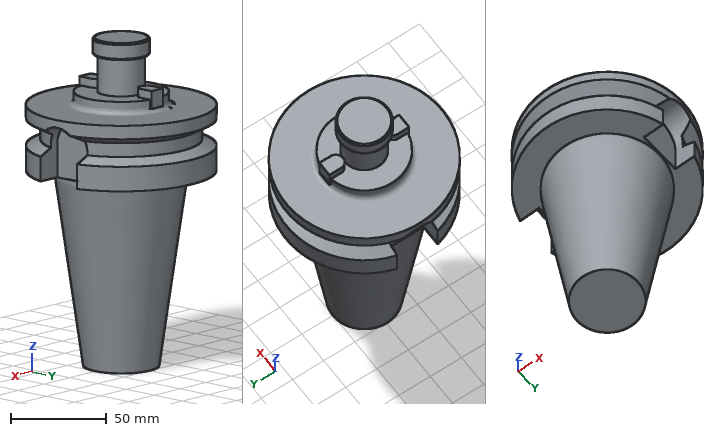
import cadquery as cq

gauge_z = 101.8
flange_bottom_z = 104.8
lower_bevel_z = 118.0
groove_bottom_z = 121.5
groove_top_z = 129.0
upper_bevel_z = 132.9
flange_top_z = 140.0
hub_top_z = 147.1
spigot_top_z = 167.0
overall_height = 176.2

taper_small_radius = 20.0
taper_large_radius = 34.9
flange_radius = 50.0
groove_radius = 42.5
hub_radius = 25.0
hub_fillet = 3.0
spigot_radius = 12.5

head_radius = 15.0
head_chamfer = 0.9

slot_width = 25.9
slot_top_z = 136.0
slot_floor_x = 35.5

key_width = 9.2
key_inner_y = 13.5
key_outer_y = 25.5
key_bottom_z = 142.2
key_top_z = 151.9


def turned_holder():
    """Taper shank, grooved flange, filleted hub and spigot as one revolved profile."""
    profile = (
        cq.Workplane("XZ")
        .moveTo(0, 0)
        .lineTo(taper_small_radius, 0)
        .lineTo(taper_large_radius, gauge_z)
        .lineTo(taper_large_radius, flange_bottom_z)
        .lineTo(flange_radius, flange_bottom_z)
        .lineTo(flange_radius, lower_bevel_z)
        .lineTo(groove_radius, groove_bottom_z)
        .lineTo(groove_radius, groove_top_z)
        .lineTo(flange_radius, upper_bevel_z)
        .lineTo(flange_radius, flange_top_z)
        .lineTo(hub_radius + hub_fillet, flange_top_z)
        .radiusArc((hub_radius, flange_top_z + hub_fillet), hub_fillet)
        .lineTo(hub_radius, hub_top_z)
        .lineTo(spigot_radius, hub_top_z)
        .lineTo(spigot_radius, spigot_top_z)
        .lineTo(0, spigot_top_z)
        .close()
    )
    return profile.revolve(360, (0, 0), (0, 1))


def drive_slot(side):
    """Cutter with a round top, open below and outward; side is +1 or -1 along X."""
    half_width = slot_width / 2
    arc_center_z = slot_top_z - half_width
    return (
        cq.Workplane("YZ", origin=(side * slot_floor_x, 0, 0))
        .moveTo(-half_width, flange_bottom_z)
        .lineTo(-half_width, arc_center_z)
        .threePointArc((0, slot_top_z), (half_width, arc_center_z))
        .lineTo(half_width, flange_bottom_z)
        .close()
        .extrude(side * flange_radius)
    )


def driving_key(side):
    """Key with a rounded inner end and a flat outer end; side is +1 or -1 along Y."""
    half_width = key_width / 2
    arc_center_y = key_inner_y + half_width
    return (
        cq.Workplane("XY", origin=(0, 0, key_bottom_z))
        .moveTo(-half_width, side * key_outer_y)
        .lineTo(-half_width, side * arc_center_y)
        .threePointArc((0, side * key_inner_y), (half_width, side * arc_center_y))
        .lineTo(half_width, side * key_outer_y)
        .close()
        .extrude(key_top_z - key_bottom_z)
    )


def screw_head():
    """Round head with both rims chamfered, resting on the end of the spigot."""
    return (
        cq.Workplane("XY", origin=(0, 0, spigot_top_z))
        .circle(head_radius)
        .extrude(overall_height - spigot_top_z)
        .edges("%CIRCLE")
        .chamfer(head_chamfer)
    )


sides = (-1, 1)
keys = [driving_key(side) for side in sides]

holder = turned_holder()
for side in sides:
    holder = holder.cut(drive_slot(side))
for key in keys:
    holder = holder.cut(key)

screw = screw_head()

result = cq.Compound.makeCompound([holder.val(), screw.val(), *[key.val() for key in keys]])